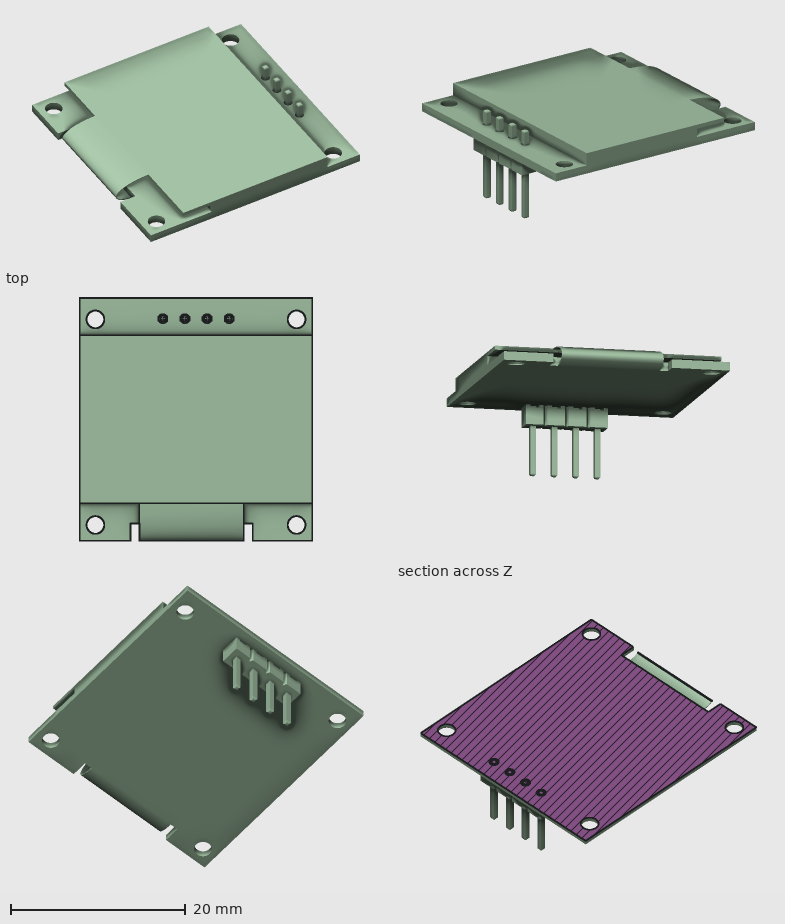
import cadquery as cq


board_width = 26.7
board_length = 27.85
board_thickness = 1.0
mount_diameter = 2.0
mount_side_margin = 1.8
mount_front_margin = 1.8
mount_rear_margin = 2.48

cable_x = -0.5
cable_width = 12.0
cable_thickness = 0.1
notch_width = 13.99
notch_depth = 1.98

glass_length = 19.22
glass_thickness = 0.47
backing_length = 15.43
panel_height = 1.5

pin_count = 4
pin_pitch = 2.54
pin_y = 11.53
pin_side = 0.65
pin_length = 10.85
pin_rise = 1.73
pin_end_radius = 0.25
pin_hole_diameter = 1.03
housing_depth = 2.35
housing_height = 2.28
housing_end = 1.03
groove_depth = 0.45
slot_width = 1.05
slot_depth = 0.28

board_front = -board_length / 2
notch_wall = board_front + notch_depth
panel_top = board_thickness + panel_height
glass_front = -glass_length / 2
glass_rear = glass_length / 2
pin_xs = [(i - (pin_count - 1) / 2) * pin_pitch for i in range(pin_count)]
pin_top = board_thickness + pin_rise


def box(width, length, height, x, y, z):
    """Box centred on x and y that stands on the height z."""
    return cq.Workplane("XY").box(width, length, height, centered=(True, True, False)).translate((x, y, z))


def make_board():
    """Board with corner mounting holes, pin holes and the cable notch."""
    board = box(board_width, board_length, board_thickness, 0, 0, 0)

    mount_x = board_width / 2 - mount_side_margin
    mount_front = board_front + mount_front_margin
    mount_rear = board_length / 2 - mount_rear_margin
    mounts = [(x, y) for x in (-mount_x, mount_x) for y in (mount_front, mount_rear)]
    mount_holes = cq.Workplane("XY").pushPoints(mounts).circle(mount_diameter / 2).extrude(board_thickness)

    pin_places = [(x, pin_y) for x in pin_xs]
    pin_holes = cq.Workplane("XY").pushPoints(pin_places).circle(pin_hole_diameter / 2).extrude(board_thickness)

    notch = box(notch_width, notch_depth, board_thickness, cable_x, board_front + notch_depth / 2, 0)
    return board.cut(mount_holes).cut(pin_holes).cut(notch)


def make_display():
    """Glass plate on a shorter backing, which leaves the glass overhanging at the front."""
    outline = [
        (glass_rear, board_thickness),
        (glass_rear, panel_top),
        (glass_front, panel_top),
        (glass_front, panel_top - glass_thickness),
        (glass_rear - backing_length, panel_top - glass_thickness),
        (glass_rear - backing_length, board_thickness),
    ]
    return cq.Workplane("YZ", origin=(-board_width / 2, 0, 0)).polyline(outline).close().extrude(board_width)


def make_cable():
    """Thin strip that bends from the glass edge to the board edge, then under into the notch."""
    upper_reach = glass_front - board_front
    inner_upper = (upper_reach - cable_thickness, panel_height - cable_thickness)
    inner_lower = (notch_depth - cable_thickness, board_thickness - cable_thickness)
    return (
        cq.Workplane("YZ", origin=(cable_x - cable_width / 2, 0, 0))
        .moveTo(glass_front, panel_top)
        .ellipseArc(upper_reach, panel_height, 90, 180)
        .ellipseArc(notch_depth, board_thickness, 180, 270)
        .lineTo(notch_wall, cable_thickness)
        .ellipseArc(*inner_lower, 180, 270, sense=-1)
        .ellipseArc(*inner_upper, 90, 180, sense=-1)
        .close()
        .extrude(cable_width)
    )


def make_pin(x):
    """Square pin with rounded ends."""
    pin = box(pin_side, pin_side, pin_length, x, pin_y, pin_top - pin_length)
    return pin.faces(">Z or <Z").edges().fillet(pin_end_radius)


def make_header():
    """Housing with V grooves between the pins and a slot around each pin, joined to its pins."""
    housing_width = (pin_count - 1) * pin_pitch + 2 * housing_end
    header = box(housing_width, housing_depth, housing_height, 0, pin_y, -housing_height)

    groove_half_width = pin_pitch / 2 - housing_end
    for x in pin_xs[:-1]:
        groove_x = x + pin_pitch / 2
        for side in (-1, 1):
            face_y = pin_y + side * housing_depth / 2
            groove = [
                (groove_x - groove_half_width, face_y),
                (groove_x, face_y - side * groove_depth),
                (groove_x + groove_half_width, face_y),
            ]
            header = header.cut(cq.Workplane("XY").polyline(groove).close().extrude(-housing_height))

    for x in pin_xs:
        header = header.cut(box(slot_width, housing_depth, slot_depth, x, pin_y, -slot_depth))
    for x in pin_xs:
        header = header.union(make_pin(x))
    return header


board = make_board()
display = make_display()
cable = make_cable()
header = make_header()

result = cq.Compound.makeCompound([body.solids().val() for body in (board, display, cable, header)])